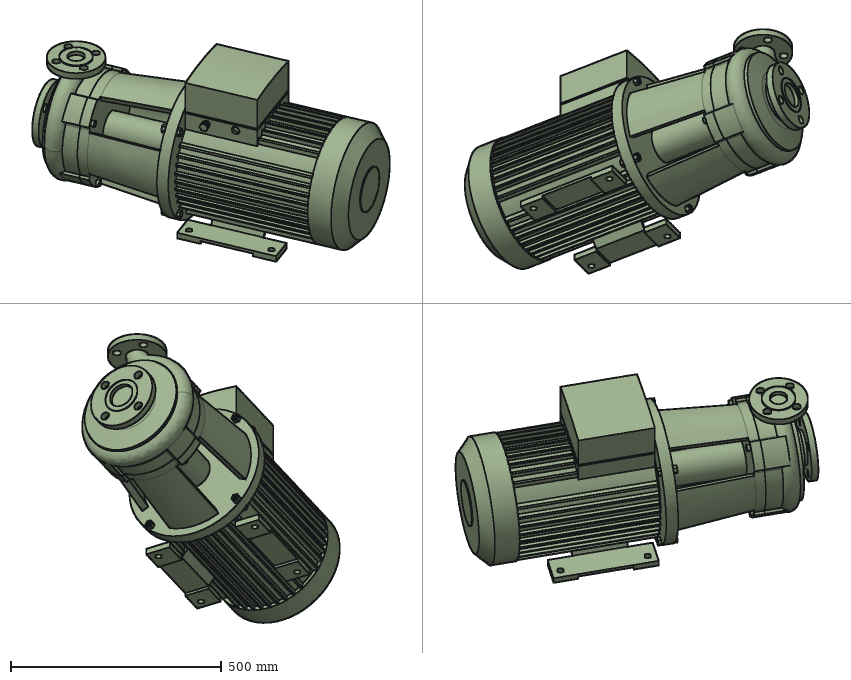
import cadquery as cq
import math


suction_back = 18.5
collar_start = 28.0
cover_start = 39.0
cover_rim = 46.0
volute_x = 80.0
seam_x = 142.5
ring_end = 168.0
flange_start = 366.0
flange_end = 395.0
motor_start = 404.0
cowl_start = 749.0
cone_start = 809.0
cone_end = 840.5
total_length = 843.0

overall_height = 424.0

first_diagonal = 45
diagonals = [first_diagonal + 90 * quarter for quarter in range(4)]
arm_angles = [90 * quarter for quarter in range(4)]

cover_diameter = 247.0
cover_flat_diameter = 143.0
casing_radius = 136.0
pad_radius = 145.0
pad_half_angle = 14.2
pad_wall_foot_radius = 137.0
pad_wall_foot_half_angle = 14.9
pad_base_half_angle = 16.9
pad_root = 17.0
volute_center_radius = 120.5
volute_start_radius = 24.0
tube_end_radius = 28.0
bend_points = [(-92.0, 83.5), (-55.0, 112.0)]
bore_depth = 10.0
flange_hole_count = 4

suction_diameter = 165.0
suction_face_diameter = 86.0
suction_bore = 61.0
suction_hole = 20.0
suction_hole_circle_radius = 63.0
collar_diameter = 106.0
neck_diameter = 86.0
raised_face = 2.0

outlet_diameter = 140.0
outlet_face_diameter = 80.0
outlet_bore = 42.0
outlet_hole = 19.0
outlet_hole_circle_radius = 51.0
outlet_bottom = 161.0
outlet_thickness = 17.0
outlet_raised_face = 2.5

lantern_flange_diameter = 350.0
arm_half_angle = 25.3
arm_end_radius = 154.0
arm_thickness = 18.0
sleeve_diameter = 86.0
stud_diameter = 15.0
stud_length = 8.5
stud_circle_radius = 133.0
stud_angle = 144.5
stud_count = 4

bolt_circle_radius = 164.0
bolt_diameter = 10.0
bolt_socket_diameter = 10.0
bolt_hex_size = 20.0
bolt_head_height = 10.0
nut_height = 8.0
bolt_socket_depth = 5.0

motor_diameter = 312.0
core_radius = 146.0
spigot_diameter = 232.0
fin_row_width = 173.0
fin_thickness = 4.0
fins_each_side_of_middle = 4
fin_pitch = fin_row_width / (2 * fins_each_side_of_middle)
cowl_end_diameter = 247.0
cowl_disc_diameter = 111.0

foot_start = 408.0
foot_end = 665.0
foot_inner = 88.5
foot_outer = 152.0
foot_top = -145.0
foot_thickness = 16.0
foot_relief = 8.0
foot_pad_length = 61.0
foot_hole = 15.0
foot_hole_inset = 22.0
web_rise = 25.0
web_run = 14.0

box_length = 187.0
box_width = 186.0
box_bottom = 84.0
box_seam = 158.0
box_gap = 2.5
box_gap_depth = 2.5
lid_shoulder = 244.0
lid_crown = overall_height - lantern_flange_diameter / 2
entry_height = 142.5
gland_x = 459.5
entry_hole_x = 534.5
entry_hole_diameter = 19.0
entry_hole_depth = 8.5
gland_neck_diameter = 16.0
gland_neck_length = 8.5
gland_hex_size = 22.0
gland_hex_length = 10.0


def polar(radius, angle):
    """Point (y, z) at a radius and an angle in degrees from +Y towards +Z."""
    turn = math.radians(angle)
    return radius * math.cos(turn), radius * math.sin(turn)


def disc(start, end, radius):
    """Cylinder around the shaft."""
    return cq.Workplane("YZ", origin=(start, 0, 0)).circle(radius).extrude(end - start)


def block(x_range, y_range, z_range):
    """Box between two limits along each axis."""
    size = [high - low for low, high in (x_range, y_range, z_range)]
    corner = (x_range[0], y_range[0], z_range[0])
    return cq.Workplane("XY", origin=corner).box(*size, centered=False)


def pads(start, end):
    """Four raised pads on the diagonals of the casing rim, with a small ramp at each foot."""
    inner_radius = casing_radius - pad_root
    solids = cq.Workplane("YZ")
    for middle in diagonals:
        pad = (
            cq.Workplane("YZ", origin=(start, 0, 0))
            .moveTo(*polar(inner_radius, middle - pad_base_half_angle))
            .lineTo(*polar(casing_radius, middle - pad_base_half_angle))
            .lineTo(*polar(pad_wall_foot_radius, middle - pad_wall_foot_half_angle))
            .lineTo(*polar(pad_radius, middle - pad_half_angle))
            .threePointArc(polar(pad_radius, middle), polar(pad_radius, middle + pad_half_angle))
            .lineTo(*polar(pad_wall_foot_radius, middle + pad_wall_foot_half_angle))
            .lineTo(*polar(casing_radius, middle + pad_base_half_angle))
            .lineTo(*polar(inner_radius, middle + pad_base_half_angle))
            .close()
            .extrude(end - start)
        )
        solids = solids.add(pad)
    return solids.combine()


def box_saddle():
    """Block of the lower terminal box, hollowed below to sit on the motor core."""
    half = box_width / 2
    box_end = motor_start + box_length
    return block((motor_start, box_end), (-half, half), (box_bottom, box_seam)).cut(
        disc(motor_start, cowl_start, core_radius)
    )


def make_volute():
    """Tube that grows around the casing and then bends up into the outlet pipe."""
    plane = cq.Workplane("YZ", origin=(volute_x, 0, 0))
    upright = (0, 1)
    start = (0, volute_center_radius)
    spiral_end = (-volute_center_radius, 0)
    spiral_middle = polar(volute_center_radius, -first_diagonal)
    spiral_path = plane.moveTo(*start).threePointArc(spiral_middle, spiral_end)
    spiral = (
        cq.Workplane("XZ", origin=(volute_x, 0, start[1]))
        .circle(volute_start_radius)
        .transformed(offset=(0, -start[1], -spiral_end[0]), rotate=(90, 0, 0))
        .circle(tube_end_radius)
        .sweep(spiral_path, multisection=True)
    )
    bend_path = plane.moveTo(*spiral_end).spline(
        [*bend_points, (0, outlet_bottom + outlet_thickness / 2)],
        tangents=[upright, upright],
        includeCurrent=True,
    )
    bend = (
        cq.Workplane("XY", origin=(volute_x, spiral_end[0], 0))
        .circle(tube_end_radius)
        .sweep(bend_path)
    )
    return spiral.union(bend)


def make_outlet_flange():
    top = outlet_bottom + outlet_thickness
    flange = (
        cq.Workplane("XY", origin=(volute_x, 0, outlet_bottom))
        .circle(outlet_diameter / 2)
        .extrude(outlet_thickness)
        .faces(">Z").workplane()
        .circle(outlet_face_diameter / 2)
        .extrude(outlet_raised_face)
    )
    holes = (
        cq.Workplane("XY", origin=(volute_x, 0, outlet_bottom))
        .polarArray(outlet_hole_circle_radius, first_diagonal, 360, flange_hole_count)
        .circle(outlet_hole / 2)
        .extrude(outlet_thickness)
    )
    bore = (
        cq.Workplane("XY", origin=(volute_x, 0, top + outlet_raised_face))
        .circle(outlet_bore / 2)
        .extrude(-bore_depth)
    )
    return flange, holes.union(bore)


def make_casing():
    front = (
        cq.Workplane("XY")
        .polyline([
            (0, 0),
            (0, suction_face_diameter / 2),
            (raised_face, suction_face_diameter / 2),
            (raised_face, suction_diameter / 2),
            (suction_back, suction_diameter / 2),
            (suction_back, neck_diameter / 2),
            (collar_start, neck_diameter / 2),
            (collar_start, collar_diameter / 2),
            (cover_start, collar_diameter / 2),
            (cover_start, cover_flat_diameter / 2),
            (cover_rim, cover_diameter / 2),
            (volute_x, cover_diameter / 2),
            (volute_x, casing_radius),
            (seam_x, casing_radius),
            (seam_x, 0),
        ])
        .close()
        .revolve(360, (0, 0, 0), (1, 0, 0))
    )
    suction_holes = (
        cq.Workplane("YZ")
        .polarArray(suction_hole_circle_radius, first_diagonal, 360, flange_hole_count)
        .circle(suction_hole / 2)
        .extrude(suction_back)
    )
    flange, outlet_cuts = make_outlet_flange()
    return (
        front.union(pads(volute_x, seam_x))
        .union(make_volute())
        .union(flange)
        .cut(suction_holes)
        .cut(disc(0, bore_depth, suction_bore / 2))
        .cut(outlet_cuts)
    )


def make_arms():
    """Four slices of a conical shell between the ring and the motor flange."""
    shell = (
        cq.Workplane("XY")
        .polyline([
            (ring_end, casing_radius - arm_thickness),
            (ring_end, casing_radius),
            (flange_start, arm_end_radius),
            (flange_start, arm_end_radius - arm_thickness),
        ])
        .close()
        .revolve(2 * arm_half_angle, (0, 0, 0), (1, 0, 0))
    )
    return [shell.rotate((0, 0, 0), (1, 0, 0), middle - arm_half_angle) for middle in arm_angles]


def make_lantern():
    lantern = (
        disc(seam_x, ring_end, casing_radius)
        .union(pads(seam_x, ring_end))
        .union(disc(ring_end, flange_start, sleeve_diameter / 2))
        .union(disc(flange_start, flange_end, lantern_flange_diameter / 2))
    )
    for arm in make_arms():
        lantern = lantern.union(arm)
    stud_ends = (
        cq.Workplane("YZ", origin=(ring_end, 0, 0))
        .polarArray(stud_circle_radius, stud_angle, 360, stud_count)
        .circle(stud_diameter / 2)
        .extrude(stud_length)
    )
    bolt_holes = (
        cq.Workplane("YZ", origin=(flange_start, 0, 0))
        .polarArray(bolt_circle_radius, first_diagonal, 360, len(diagonals))
        .circle(bolt_diameter / 2)
        .extrude(flange_end - flange_start)
    )
    return lantern.union(stud_ends).cut(bolt_holes)


def make_bolt(angle):
    """Hexagon bolt with a round socket and its nut, through the lantern flange."""
    y, z = polar(bolt_circle_radius, angle)
    head_start = flange_start - bolt_head_height
    head = (
        cq.Workplane("YZ", origin=(head_start, y, z))
        .polygon(6, bolt_hex_size)
        .extrude(bolt_head_height)
    )
    shank = (
        cq.Workplane("YZ", origin=(flange_start, y, z))
        .circle(bolt_diameter / 2)
        .extrude(flange_end - flange_start)
    )
    nut = cq.Workplane("YZ", origin=(flange_end, y, z)).polygon(6, bolt_hex_size).extrude(nut_height)
    socket = (
        cq.Workplane("YZ", origin=(head_start, y, z))
        .circle(bolt_socket_diameter / 2)
        .extrude(bolt_socket_depth)
    )
    return head.union(shank).union(nut).cut(socket)


def make_fins():
    """Parallel cooling fins, upright ones above and below and level ones at the sides."""
    radius = motor_diameter / 2
    length = (motor_start, cowl_start)
    span = (-radius, radius)
    fins = None
    for step in range(-fins_each_side_of_middle, fins_each_side_of_middle + 1):
        middle = step * fin_pitch
        thickness = (middle - fin_thickness / 2, middle + fin_thickness / 2)
        for fin in (block(length, thickness, span), block(length, span, thickness)):
            fins = fin if fins is None else fins.union(fin)
    return fins.intersect(disc(motor_start, cowl_start, radius))


def make_foot():
    """Foot plate on the -Y side: two thick ends, a thinner middle and a sloping web."""
    pad_end = foot_start + foot_pad_length
    pad_start = foot_end - foot_pad_length
    bottom = foot_top - foot_thickness
    plate = block((foot_start, foot_end), (-foot_outer, -foot_inner), (bottom, foot_top))
    relief = block(
        (pad_end, pad_start), (-foot_outer, -foot_inner), (bottom, bottom + foot_relief)
    )
    web = (
        cq.Workplane("YZ", origin=(pad_end, 0, 0))
        .polyline([
            (-foot_inner, foot_top),
            (-foot_inner + web_run, foot_top + web_rise),
            (-foot_inner + 2 * web_run, foot_top + web_rise),
            (-foot_inner, bottom + foot_relief),
        ])
        .close()
        .extrude(pad_start - pad_end)
    )
    holes = (
        cq.Workplane("XY", origin=(0, 0, bottom))
        .pushPoints([
            (foot_start + foot_hole_inset, foot_hole_inset - foot_outer),
            (foot_end - foot_hole_inset, foot_hole_inset - foot_outer),
        ])
        .circle(foot_hole / 2)
        .extrude(foot_thickness)
    )
    return plate.cut(relief).union(web).cut(holes)


def make_motor():
    foot = make_foot()
    return (
        disc(motor_start, cowl_start, core_radius)
        .union(make_fins())
        .cut(box_saddle())
        .union(disc(flange_end, motor_start, spigot_diameter / 2))
        .union(foot)
        .union(foot.mirror("XZ"))
    )


def make_cowl():
    return (
        cq.Workplane("XY")
        .polyline([
            (cowl_start, 0),
            (cowl_start, motor_diameter / 2),
            (cone_start, motor_diameter / 2),
            (cone_end, cowl_end_diameter / 2),
            (cone_end, cowl_disc_diameter / 2),
            (total_length, cowl_disc_diameter / 2),
            (total_length, 0),
        ])
        .close()
        .revolve(360, (0, 0, 0), (1, 0, 0))
    )


def make_box_base():
    """Lower box, saddled on the motor core, with a lip under the lid and a cable gland."""
    half = box_width / 2
    lip_half = half - box_gap_depth
    box_end = motor_start + box_length
    lip = block(
        (motor_start + box_gap_depth, box_end - box_gap_depth),
        (-lip_half, lip_half),
        (box_seam, box_seam + box_gap),
    )
    entry_hole = (
        cq.Workplane("XZ", origin=(entry_hole_x, -half, entry_height))
        .circle(entry_hole_diameter / 2)
        .extrude(-entry_hole_depth)
    )
    gland = (
        cq.Workplane("XZ", origin=(gland_x, -half, entry_height))
        .circle(gland_neck_diameter / 2)
        .extrude(gland_neck_length)
        .faces("<Y").workplane()
        .polygon(6, gland_hex_size)
        .extrude(gland_hex_length)
    )
    return box_saddle().union(lip).cut(entry_hole).union(gland)


def make_box_lid():
    half = box_width / 2
    lid_bottom = box_seam + box_gap
    return (
        cq.Workplane("YZ", origin=(motor_start, 0, 0))
        .moveTo(-half, lid_bottom)
        .lineTo(-half, lid_shoulder)
        .threePointArc((0, lid_crown), (half, lid_shoulder))
        .lineTo(half, lid_bottom)
        .close()
        .extrude(box_length)
    )


casing = make_casing()
lantern = make_lantern()
motor = make_motor()
cowl = make_cowl()
box_base = make_box_base()
box_lid = make_box_lid()
bolts = [make_bolt(angle).val() for angle in diagonals]

result = cq.Compound.makeCompound([
    casing.val(),
    lantern.val(),
    motor.val(),
    cowl.val(),
    box_base.val(),
    box_lid.val(),
    *bolts,
])